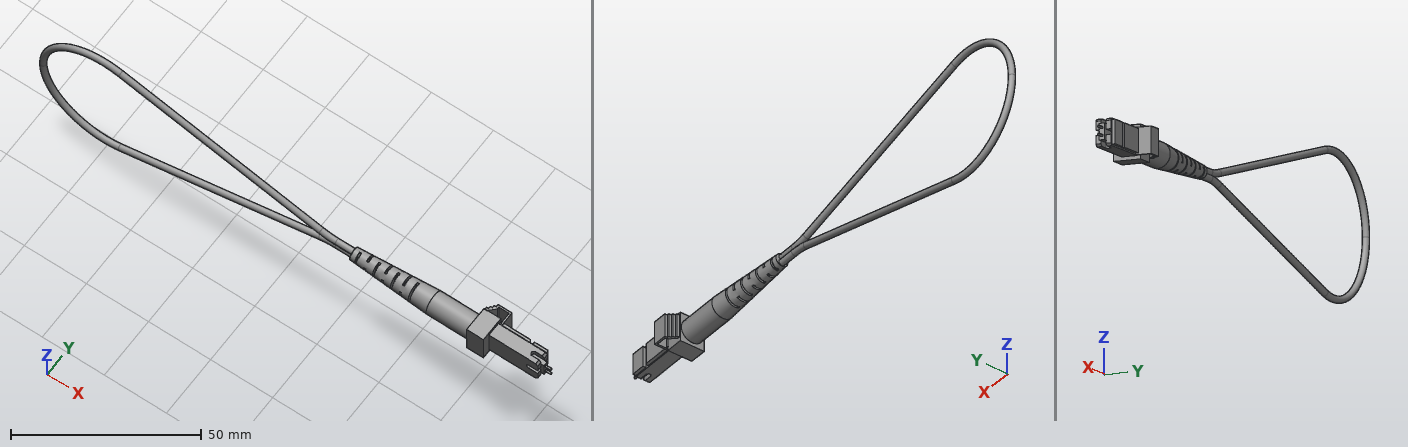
import cadquery as cq
import math


cable_diameter = 2.0
strand_spacing = 1.6
loop_left = -82.1
loop_width = 41.5
loop_radius = (loop_width - cable_diameter) / 2
loop_center_x = loop_left + loop_width / 2
bend_radius = loop_radius
bend_end_x = 13.6

boot_start_x = 19.0
boot_end_x = 44.8
boot_start_radius = 2.0
boot_end_radius = 3.6
slot_count = 7
first_slot_x = 21.0
last_slot_x = 39.1
slot_pitch = (last_slot_x - first_slot_x) / (slot_count - 1)
slot_width = 0.57
bridge_width = 2.1
bridge_angle = 37.0

barrel_radius = boot_end_radius
collar_start_x = 58.1
collar_length = 5.5
collar_height_y = 7.9
collar_width_z = 9.4
nose_start_x = collar_start_x + collar_length
nose_end_x = 79.3
nose_bottom_y = -1.5
nose_top_y = 3.0
nose_center_y = (nose_bottom_y + nose_top_y) / 2
nose_width_z = 7.4
nose_chamfer = 0.7
window_start_x = 75.7
window_height = 1.5
catch_start_x = 74.4
catch_end_x = 78.8
catch_top_y = collar_height_y / 2
catch_width_z = 6.5

ferrule_start_x = 73.9
ferrule_end_x = 80.3
ferrule_thickness_y = 1.5
ferrule_width_z = 4.5
pin_end_x = 82.1
pin_diameter = 0.7
pin_spacing = 2.1

latch_base_end_x = 73.4
latch_base_width_z = catch_width_z
latch_base_top_y = catch_top_y
latch_base_chamfer = 0.3
latch_top_y = 7.5
latch_thickness = 0.57
latch_post_x = 64.0
latch_arm_end_x = 60.1
latch_arm_width_z = nose_width_z
grip_step_count = 3
grip_step_run = 0.7
grip_step_drop = 0.8
grip_tip_y = 4.3
grip_thickness = 0.7


def box_between(x_range, y_range, z_range):
    """Axis-aligned box spanning the given (low, high) ranges."""
    lows, highs = zip(x_range, y_range, z_range)
    size = [high - low for low, high in zip(lows, highs)]
    return cq.Workplane("XY").box(*size, centered=False).translate(lows)


def centered_range(width, middle=0.0):
    return (middle - width / 2, middle + width / 2)


def rod(start_x, end_x, radius, y=0.0, z=0.0):
    """Round rod along X."""
    return cq.Workplane("YZ", origin=(start_x, y, z)).circle(radius).extrude(end_x - start_x)


def make_cable():
    strand_z = strand_spacing / 2
    center_dx = bend_end_x - loop_center_x
    center_dz = strand_z + bend_radius
    center_line_angle = math.atan2(center_dz, center_dx)
    crossing_angle = math.asin((loop_radius + bend_radius) / math.hypot(center_dx, center_dz))
    run_angle = crossing_angle - center_line_angle

    def loop_point(angle):
        return (loop_center_x + loop_radius * math.sin(angle), loop_radius * math.cos(angle))

    def bend_point(angle):
        return (bend_end_x - bend_radius * math.sin(angle), center_dz - bend_radius * math.cos(angle))

    path = (
        cq.Workplane("XZ")
        .moveTo(boot_end_x, strand_z)
        .lineTo(bend_end_x, strand_z)
        .threePointArc(bend_point(run_angle / 2), bend_point(run_angle))
        .lineTo(*loop_point(run_angle))
        .threePointArc(loop_point((run_angle - math.pi / 2) / 2), loop_point(-math.pi / 2))
    )
    upper_half = (
        cq.Workplane("YZ", origin=(boot_end_x, 0, strand_z)).circle(cable_diameter / 2).sweep(path)
    )
    return upper_half.union(upper_half.mirror("XY"))


def make_slot_cutter(index):
    """Ring-shaped slot crossed by a bridge bar; the bar turns 90 degrees from slot to slot."""
    start_x = first_slot_x + index * slot_pitch - slot_width / 2
    end_x = start_x + slot_width
    disc_radius = 2 * boot_end_radius
    bridge = box_between((start_x, end_x), centered_range(3 * disc_radius), centered_range(bridge_width))
    turn = 90 * ((index + 1) % 2) - bridge_angle
    bridge = bridge.rotate((0, 0, 0), (1, 0, 0), turn)
    return rod(start_x, end_x, disc_radius).cut(bridge)


def make_boot(cable):
    boot = (
        cq.Workplane("XY")
        .polyline([
            (boot_start_x, 0),
            (boot_start_x, boot_start_radius),
            (boot_end_x, boot_end_radius),
            (boot_end_x, 0),
        ])
        .close()
        .revolve(360, (0, 0, 0), (1, 0, 0))
    )
    boot = boot.cut(cable)
    for index in range(slot_count):
        boot = boot.cut(make_slot_cutter(index))
    return boot


def make_ferrule():
    ferrule = box_between(
        (ferrule_start_x, ferrule_end_x),
        centered_range(ferrule_thickness_y, nose_center_y),
        centered_range(ferrule_width_z),
    )
    for side in (-1, 1):
        pin = rod(ferrule_start_x, pin_end_x, pin_diameter / 2, nose_center_y, side * pin_spacing / 2)
        ferrule = ferrule.union(pin)
    return ferrule


def make_window(plane):
    """Round-ended window cutter, open at the nose end and cut across the plane's normal."""
    length = 2 * (nose_end_x - window_start_x)
    return (
        cq.Workplane(plane, origin=(nose_end_x, nose_center_y, 0))
        .slot2D(length, window_height)
        .extrude(nose_width_z, both=True)
    )


def make_housing(ferrule):
    barrel = rod(boot_end_x, collar_start_x, barrel_radius)
    collar = box_between(
        (collar_start_x, nose_start_x), centered_range(collar_height_y), centered_range(collar_width_z)
    )
    nose = box_between(
        (nose_start_x, nose_end_x), (nose_bottom_y, nose_top_y), centered_range(nose_width_z)
    )
    nose = nose.faces(">X").edges("|Y").chamfer(nose_chamfer)
    catch = box_between(
        (catch_start_x, catch_end_x), (nose_top_y, catch_top_y), centered_range(catch_width_z)
    )
    windows = make_window("XY").union(make_window("XZ"))
    nose = nose.cut(windows).union(catch)
    return barrel.union(collar).union(nose).cut(ferrule)


def make_latch():
    base = box_between(
        (nose_start_x, latch_base_end_x), (nose_top_y, latch_base_top_y), centered_range(latch_base_width_z)
    )
    base = base.edges(">X and >Y").chamfer(latch_base_chamfer)

    grip_steps = []
    for step in range(grip_step_count):
        edge_x = latch_arm_end_x - step * grip_step_run
        tread_y = latch_top_y - (step + 1) * grip_step_drop
        grip_steps += [(edge_x, tread_y), (edge_x - grip_step_run, tread_y)]
    grip_tip_x = latch_arm_end_x - grip_step_count * grip_step_run

    post_end_x = latch_post_x + latch_thickness
    arm_bottom_y = latch_top_y - latch_thickness
    arm = (
        cq.Workplane("XY")
        .polyline([
            (latch_post_x, nose_top_y),
            (post_end_x, nose_top_y),
            (post_end_x, latch_top_y),
            (latch_arm_end_x, latch_top_y),
            *grip_steps,
            (grip_tip_x, grip_tip_y),
            (grip_tip_x + grip_thickness, grip_tip_y),
            (latch_arm_end_x + grip_thickness, arm_bottom_y - grip_thickness),
            (latch_arm_end_x + grip_thickness, arm_bottom_y),
            (latch_post_x, arm_bottom_y),
        ])
        .close()
        .extrude(latch_arm_width_z / 2, both=True)
    )
    return base.union(arm)


cable = make_cable()
boot = make_boot(cable)
ferrule = make_ferrule()
housing = make_housing(ferrule)
latch = make_latch()

result = cq.Compound.makeCompound([
    cable.solids().val(),
    boot.solids().val(),
    housing.solids().val(),
    ferrule.solids().val(),
    latch.solids().val(),
])